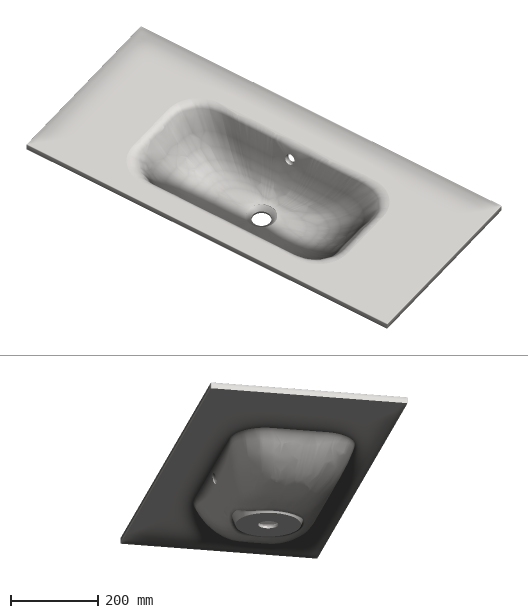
import cadquery as cq
import math

SLAB_LENGTH = 1005
SLAB_WIDTH = 460
SLAB_THICKNESS = 15
SLAB_EDGE_RADIUS = 2
TOTAL_HEIGHT = 140

DRAIN_Y = -10
RIM_HALF_LENGTH = 300
RIM_BACK_REACH = 141
RIM_FRONT_REACH = 169
RIM_CORNER_RADIUS = 85
RIM_LIP_RADIUS = 16

BOWL_DEPTH = 126
BOWL_OUTER_DEPTH = 136
BOWL_OUTER_SETBACK = 4
PROFILE_POWER = 3.85

OUTER_START_DEPTH = SLAB_THICKNESS / 2
INNER_END_SHARE = 0.12
OUTER_END_SHARE = 0.25

BOTTOM_CORNER_SHARE = 0.9

PROFILE_STEPS = 9
LIP_STEPS = 4
CORNER_STEPS = 4
STRAIGHT_SHARES = (0, 0.5, 0.85)

DRAIN_HOLE_DIAMETER = 46
DRAIN_RECESS_DIAMETER = 72
DRAIN_RECESS_DEPTH = 9
DRAIN_CLEARANCE = 10
FOOT_BOTTOM_RADIUS = 75
FOOT_TOP_RADIUS = 83
FOOT_HEIGHT = 20

OVERFLOW_DIAMETER = 25
OVERFLOW_DEPTH = 37
OVERFLOW_START_Y = 60


def quarter_outline(reach_x, reach_y, corner_x, corner_y, depth, x_axis_first):
    """One quarter of a bowl outline: straight, elliptical corner, straight, meeting the axes squarely."""
    sign_x = math.copysign(1, reach_x)
    sign_y = math.copysign(1, reach_y)
    straight_x = reach_x - sign_x * corner_x
    straight_y = reach_y - sign_y * corner_y
    outline = [(reach_x, straight_y * share) for share in STRAIGHT_SHARES]
    for step in range(CORNER_STEPS + 1):
        turn = math.radians(90) * step / CORNER_STEPS
        x = straight_x + sign_x * corner_x * math.cos(turn)
        y = straight_y + sign_y * corner_y * math.sin(turn)
        outline.append((x, y))
    outline += [(straight_x * share, reach_y) for share in reversed(STRAIGHT_SHARES)]
    points = [cq.Vector(x, DRAIN_Y + y, -depth) for x, y in outline]
    if x_axis_first:
        return cq.Edge.makeSpline(points, tangents=[cq.Vector(0, sign_y), cq.Vector(-sign_x, 0)])
    points.reverse()
    return cq.Edge.makeSpline(points, tangents=[cq.Vector(sign_x, 0), cq.Vector(0, -sign_y)])


def corner_length(reach, rim_reach, share):
    """Length of a corner along one axis: the rim radius at the rim, nearly the whole reach at the bottom."""
    rim_share = RIM_CORNER_RADIUS / rim_reach
    return reach * (rim_share + (BOTTOM_CORNER_SHARE - rim_share) * (1 - share))


def bowl_section(share, setback, depth):
    """Closed level outline of the bowl: a share of the rim outline after setting it back."""
    half_length = share * (RIM_HALF_LENGTH - setback)
    back = share * (RIM_BACK_REACH - setback)
    front = share * (RIM_FRONT_REACH - setback)
    corner_x = corner_length(half_length, RIM_HALF_LENGTH, share)
    corner_back = corner_length(back, RIM_BACK_REACH, share)
    corner_front = corner_length(front, RIM_FRONT_REACH, share)
    edges = [
        quarter_outline(half_length, back, corner_x, corner_back, depth, True),
        quarter_outline(-half_length, back, corner_x, corner_back, depth, False),
        quarter_outline(-half_length, -front, corner_x, corner_front, depth, True),
        quarter_outline(half_length, -front, corner_x, corner_front, depth, False),
    ]
    return cq.Wire.assembleEdges(edges)


def share_at(depth, full_depth):
    """Share of the rim reach that the bowl profile has at a depth."""
    return (1 - depth / full_depth) ** (1 / PROFILE_POWER)


def profile_sections(start_depth, full_depth, setback, end_share):
    """Level outlines from the start depth to the nearly flat bottom of the bowl."""
    start_share = share_at(start_depth, full_depth)
    sections = []
    for step in range(PROFILE_STEPS + 1):
        share = start_share + (end_share - start_share) * step / PROFILE_STEPS
        depth = full_depth * (1 - share**PROFILE_POWER)
        sections.append(bowl_section(share, setback, depth))
    return sections


def make_slab():
    slab = cq.Workplane("XY").box(SLAB_LENGTH, SLAB_WIDTH, SLAB_THICKNESS, centered=(True, True, False))
    slab = slab.translate((0, 0, -SLAB_THICKNESS))
    return slab.edges("|Z or >Z").fillet(SLAB_EDGE_RADIUS)


def make_bowl_body():
    sections = profile_sections(OUTER_START_DEPTH, BOWL_OUTER_DEPTH, BOWL_OUTER_SETBACK, OUTER_END_SHARE)
    return cq.Workplane(cq.Solid.makeLoft(sections))


def make_basin_cavity():
    """Inside of the bowl; a quarter-round lip blends it into the slab's top face."""
    sections = []
    for step in range(LIP_STEPS):
        turn = math.radians(90) * step / LIP_STEPS
        depth = RIM_LIP_RADIUS * (1 - math.cos(turn))
        setback = RIM_LIP_RADIUS * math.sin(turn)
        sections.append(bowl_section(share_at(depth, BOWL_DEPTH), setback, depth))
    sections += profile_sections(RIM_LIP_RADIUS, BOWL_DEPTH, RIM_LIP_RADIUS, INNER_END_SHARE)
    return cq.Workplane(cq.Solid.makeLoft(sections))


def make_foot():
    bottom = cq.Vector(0, DRAIN_Y, -TOTAL_HEIGHT)
    return cq.Workplane(cq.Solid.makeCone(FOOT_BOTTOM_RADIUS, FOOT_TOP_RADIUS, FOOT_HEIGHT, bottom))


def make_drain():
    """Conical recess in the bowl bottom with the through hole below it, cut clear above the bowl bottom."""
    hole_radius = DRAIN_HOLE_DIAMETER / 2
    recess_radius = DRAIN_RECESS_DIAMETER / 2
    shape = (
        cq.Workplane("XZ", origin=(0, DRAIN_Y, 0))
        .moveTo(0, -TOTAL_HEIGHT - DRAIN_CLEARANCE)
        .lineTo(hole_radius, -TOTAL_HEIGHT - DRAIN_CLEARANCE)
        .lineTo(hole_radius, -BOWL_DEPTH - DRAIN_RECESS_DEPTH)
        .lineTo(recess_radius, -BOWL_DEPTH)
        .lineTo(recess_radius, -BOWL_DEPTH + DRAIN_CLEARANCE)
        .lineTo(0, -BOWL_DEPTH + DRAIN_CLEARANCE)
        .close()
    )
    return shape.revolve(360, (0, 0, 0), (0, 1, 0))


def make_overflow():
    hole = cq.Workplane("XZ", origin=(0, OVERFLOW_START_Y, -OVERFLOW_DEPTH)).circle(OVERFLOW_DIAMETER / 2)
    return hole.extrude(OVERFLOW_START_Y - SLAB_WIDTH / 2)


body = make_slab().union(make_bowl_body()).union(make_foot())
result = body.cut(make_basin_cavity()).cut(make_drain()).cut(make_overflow())